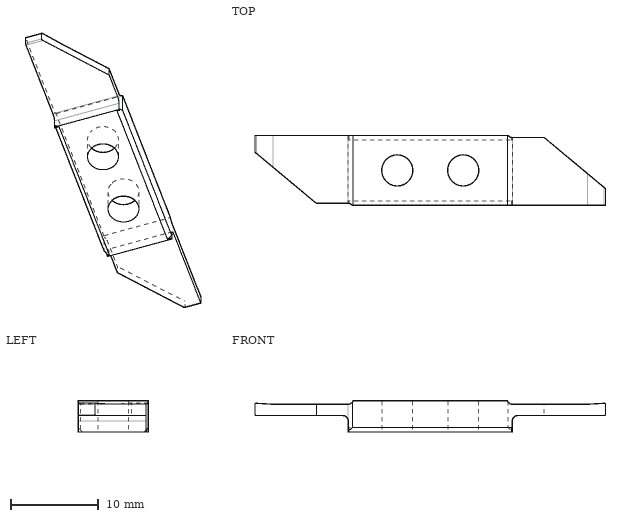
import cadquery as cq
import math

length = 40.0
width = 8.0
height = 3.6
half_length = length / 2
half_width = width / 2

body_half_length = 9.35
bottom_chamfer = 0.5
end_lip = 0.1
hole_diameter = 3.5
hole_spacing = 7.5

wing_bottom = 1.9
wing_top = 3.2
wing_side_step = 0.25
root_radius = 0.6

tip_width = 1.9
slant_length = 7.0
ramp_length = 2.1
tip_top = 3.3
tip_round = 0.15


def root_run(step):
    """Length along X of a root arc that climbs the given step."""
    return math.sqrt(root_radius**2 - (root_radius - step) ** 2)


def arc_middle(center, start_angle, end_angle):
    """Middle point of a root arc, angles in degrees."""
    angle = math.radians((start_angle + end_angle) / 2)
    return (
        center[0] + root_radius * math.cos(angle),
        center[1] + root_radius * math.sin(angle),
    )


def half_side_profile():
    """Side profile of the +X half, extruded across the full width."""
    step = height - wing_top
    run = root_run(step)
    top_center = (body_half_length, wing_top + root_radius)
    top_angle = math.degrees(math.atan2(step - root_radius, -run))
    bottom_center = (body_half_length + root_radius, wing_bottom - root_radius)
    return (
        cq.Workplane("XZ")
        .moveTo(0, 0)
        .lineTo(body_half_length, 0)
        .lineTo(body_half_length, bottom_center[1])
        .threePointArc(arc_middle(bottom_center, 90, 180), (bottom_center[0], wing_bottom))
        .lineTo(half_length, wing_bottom)
        .lineTo(half_length, tip_top)
        .lineTo(half_length - ramp_length, wing_top)
        .lineTo(body_half_length, wing_top)
        .threePointArc(arc_middle(top_center, top_angle, -90), (body_half_length - run, height))
        .lineTo(0, height)
        .close()
        .extrude(half_width, both=True)
        .edges("|Y and >X")
        .fillet(tip_round)
    )


def half_plan():
    """Plan outline of the +X half, extruded through the full height."""
    run = root_run(wing_side_step)
    wing_side = half_width - wing_side_step
    center = (body_half_length, wing_side + root_radius)
    side_angle = math.degrees(math.atan2(wing_side_step - root_radius, -run))
    return (
        cq.Workplane("XY")
        .moveTo(0, -half_width)
        .lineTo(half_length, -half_width)
        .lineTo(half_length, -half_width + tip_width)
        .lineTo(half_length - slant_length, wing_side)
        .lineTo(body_half_length, wing_side)
        .threePointArc(arc_middle(center, side_angle, -90), (body_half_length - run, half_width))
        .lineTo(0, half_width)
        .close()
        .extrude(height)
    )


def bottom_edge_cutter():
    """Prism that bevels the lower +Y edge of the body between the end lips."""
    return (
        cq.Workplane("YZ")
        .polyline([
            (half_width, 0),
            (half_width, bottom_chamfer),
            (half_width - bottom_chamfer, 0),
        ])
        .close()
        .extrude(body_half_length - end_lip, both=True)
    )


def half_turn(shape):
    return shape.rotate((0, 0, 0), (0, 0, 1), 180)


half = half_side_profile().intersect(half_plan())
result = half.union(half_turn(half))

cutter = bottom_edge_cutter()
result = result.cut(cutter).cut(half_turn(cutter))

holes = (
    cq.Workplane("XY")
    .pushPoints([(-hole_spacing / 2, 0), (hole_spacing / 2, 0)])
    .circle(hole_diameter / 2)
    .extrude(height)
)
result = result.cut(holes).clean()